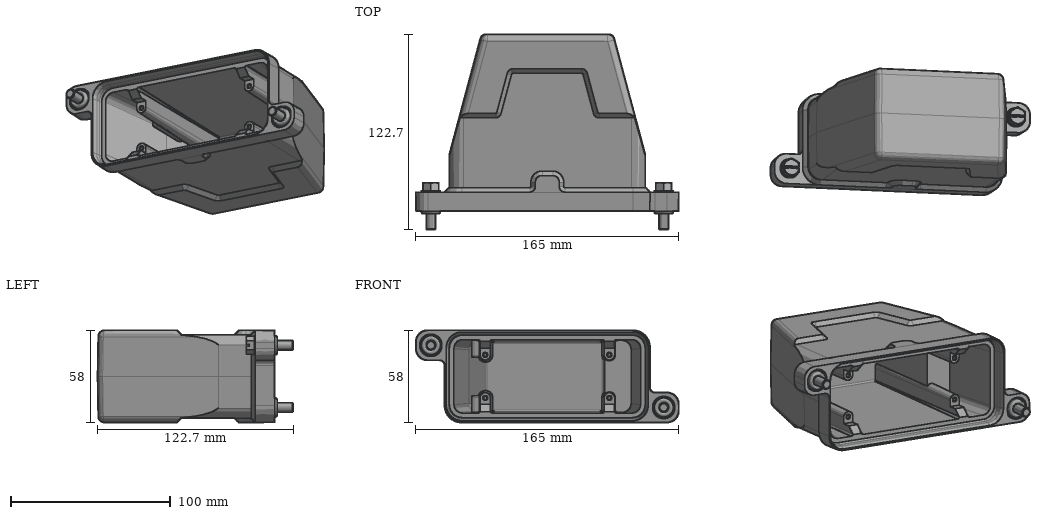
import cadquery as cq
import math


margin = 1.0

flange_depth = 12.0
flange_half_x = 64.5
flange_half_z = 29.0
flange_corner_radius = 11.0
ear_end_x = 82.5
ear_height = 19.0
ear_radius = 7.5
ear_root_radius = 3.0
flange_draft = 1.0

neck_half_x = 61.5
neck_half_z = 26.2
neck_corner_radius = 8.8
shoulder_y = 35.5
back_y = 111.1
slant_angle = 15.0
hood_draft = 1.0
back_edge_radius = 4.2
skirt_height = flange_half_z - neck_half_z

step_side_y = 58.5
step_top_y = 86.5
step_foot_x = 29.7
step_round_outer = 3.8
step_round_inner = 1.0

pad_half_x = 7.5
pad_top_y = 22.4
pad_top_radius = 4.2
pad_root_radius = 3.6

seal_levels = [(0.0, 1.2), (3.0, 2.3), (6.0, 2.6), (8.0, 3.2)]
mouth_y = seal_levels[-1][0]
cavity_half_x = 58.5
cavity_half_z = 23.0
cavity_back_half_z = 21.8
cavity_back_y = 108.0
cavity_end_draft = 8.6
cavity_corner_radius = 5.5
left_kink_y = 68.4
shelf_y = 47.5
deep_wall_x = 36.0
deep_wall_draft = 0.8
cavity_floor_radius = 1.0

post_x = 38.9
post_z = 13.5
post_radius = 3.1
post_foot_radius = 1.5
post_face_y = 19.0
post_root_z = 24.5
post_draft = 0.9
post_hole_radius = 1.1
post_hole_chamfer = 0.4
post_hole_depth = 10.0
ramp_top_z = 17.6
ramp_foot_z = 22.1
ramp_start_y = 13.0
side_block_x = -47.4
side_block_inner_z = 12.0
side_block_end_y = 80.0
side_block_corner_radius = 1.0
side_block_front_radius = 1.2

screw_x = 73.0
screw_z = 19.5
screw_tip_y = -11.6
shank_radius = 3.0
tip_chamfer = 0.5
collar_radius = 6.0
collar_tip_y = -1.7
collar_recess_radius = 7.0
collar_recess_depth = 1.5
washer_radius = 6.0
washer_chamfer = 0.4
washer_thickness = 0.9
hex_across_flats = 10.0
head_top_y = 17.9
head_bevel_angle = 30.0
head_bevel_width = 0.8
slot_width = 1.3
slot_depth = 2.1


def slope(angle):
    return math.tan(math.radians(angle))


def rounded_polygon(workplane, corners):
    """Closed outline through (x, y, radius) corners; each corner is replaced by a tangent arc."""
    count = len(corners)
    wire = None
    for i in range(count):
        corner = cq.Vector(corners[i][0], corners[i][1])
        radius = corners[i][2]
        before = cq.Vector(*corners[i - 1][:2]).sub(corner).normalized()
        after = cq.Vector(*corners[(i + 1) % count][:2]).sub(corner).normalized()
        half_angle = before.getAngle(after) / 2
        setback = radius / math.tan(half_angle)
        start = corner + before * setback
        end = corner + after * setback
        bisector = (before + after).normalized()
        middle = corner + bisector * (radius / math.sin(half_angle) - radius)
        start, middle, end = [p.toTuple()[:2] for p in (start, middle, end)]
        wire = workplane.moveTo(*start) if wire is None else wire.lineTo(*start)
        if radius > 0:
            wire = wire.threePointArc(middle, end)
    return wire.close()


def rounded_rectangle(workplane, half_x, half_z, radius):
    signs = [(1, 1), (-1, 1), (-1, -1), (1, -1)]
    return rounded_polygon(workplane, [(sx * half_x, sz * half_z, radius) for sx, sz in signs])


def plane_facing_back(y):
    """Workplane at the given Y whose extrusions grow toward +Y."""
    return cq.Workplane(cq.Plane(origin=(0, y, 0), xDir=(1, 0, 0), normal=(0, 1, 0)))


def make_flange():
    ear_low_z = flange_half_z - ear_height
    half_outline = [
        (flange_half_x, flange_half_z, flange_corner_radius),
        (-ear_end_x, flange_half_z, ear_radius),
        (-ear_end_x, ear_low_z, ear_radius),
        (-flange_half_x, ear_low_z, ear_root_radius),
    ]
    other_half = [(-x, -z, radius) for x, z, radius in half_outline]
    start = cq.Workplane("XZ", origin=(0, flange_depth, 0))
    return rounded_polygon(start, half_outline + other_half).extrude(flange_depth, taper=flange_draft)


def make_skirt():
    """45 degree transition from the flange to the neck of the hood."""
    start = plane_facing_back(flange_depth)
    outline = rounded_rectangle(start, flange_half_x, flange_half_z, flange_corner_radius)
    return outline.extrude(skirt_height, taper=45)


def make_pad(side):
    """Arched pad above the flange, with 45 degree flanks that spread toward the neck."""
    base_half_x = flange_half_x - flange_corner_radius
    half_outline = [
        (base_half_x, 0, 0),
        (base_half_x, flange_depth, 0),
        (pad_half_x, flange_depth, pad_root_radius),
        (pad_half_x, pad_top_y, pad_top_radius),
    ]
    outline = half_outline + [(-x, y, radius) for x, y, radius in reversed(half_outline)]
    start = cq.Workplane("XY", origin=(0, 0, -flange_half_z))
    pad = rounded_polygon(start, outline).extrude(skirt_height, taper=-45)
    above_flange = cq.Workplane("XY").box(4 * pad_half_x, back_y, 4 * flange_half_z)
    pad = pad.intersect(above_flange.translate((0, flange_depth + back_y / 2, 0)))
    return pad if side < 0 else pad.mirror("XY")


def make_half_prism():
    """Upper half of the drafted hood prism, its rear edges rounded."""
    slant_end_x = neck_half_x - (back_y - shoulder_y) * slope(slant_angle)
    side = [(neck_half_x, 0), (neck_half_x, shoulder_y), (slant_end_x, back_y)]
    outline = side + [(-x, y) for x, y in reversed(side)]
    half = cq.Workplane("XY").polyline(outline).close().extrude(flange_half_z, taper=hood_draft)
    rear_zone = cq.selectors.BoxSelector(
        (-neck_half_x, shoulder_y + margin, margin),
        (neck_half_x, back_y + margin, flange_half_z + margin),
    )
    return half.edges(rear_zone).fillet(back_edge_radius)


def make_step_cutter():
    """Space in front of the 45 degree step on the +Z side of the hood."""
    step_top_x = step_foot_x - (step_top_y - step_side_y) * slope(slant_angle)
    side = [
        (2 * neck_half_x, -back_y, 0),
        (2 * neck_half_x, step_side_y, 0),
        (step_foot_x, step_side_y, step_round_outer),
        (step_top_x, step_top_y, step_round_inner),
    ]
    outline = side + [(-x, y, radius) for x, y, radius in reversed(side)]
    start = cq.Workplane("XY", origin=(0, 0, neck_half_z))
    return rounded_polygon(start, outline).extrude(2 * skirt_height, taper=-45)


def make_hood_body():
    half = make_half_prism()
    prism = half.union(half.mirror("XY"))
    bar = rounded_rectangle(plane_facing_back(0), neck_half_x, neck_half_z, neck_corner_radius)
    neck = prism.intersect(bar.extrude(step_top_y))
    front_space = cq.Workplane("XY").box(4 * neck_half_x, 2 * step_side_y, 4 * neck_half_z)
    cutter = make_step_cutter()
    rear = prism.cut(front_space).cut(cutter).cut(cutter.mirror("XY"))
    return neck.union(rear)


def make_seal_seat():
    """Stepped, tapering recess around the mouth."""
    seat = None
    for (start_y, start_inset), (end_y, end_inset) in zip(seal_levels, seal_levels[1:]):
        depth = end_y - start_y
        angle = math.degrees(math.atan((end_inset - start_inset) / depth))
        outline = rounded_rectangle(
            plane_facing_back(start_y),
            flange_half_x - start_inset,
            flange_half_z - start_inset,
            flange_corner_radius - start_inset,
        )
        stage = outline.extrude(depth, taper=angle)
        seat = stage if seat is None else seat.union(stage)
    return seat


def make_cavity():
    """Drafted inner space: the left end follows the hood slant, the right end has a shelf."""
    left_kink_x = -cavity_half_x + (left_kink_y - mouth_y) * slope(cavity_end_draft)
    left_back_x = left_kink_x + (cavity_back_y - left_kink_y) * slope(slant_angle)
    shelf_x = cavity_half_x - (shelf_y - mouth_y) * slope(cavity_end_draft)
    deep_x = deep_wall_x - (cavity_back_y - shelf_y) * slope(deep_wall_draft)
    plan = [
        (-cavity_half_x, mouth_y),
        (left_kink_x, left_kink_y),
        (left_back_x, cavity_back_y),
        (deep_x, cavity_back_y),
        (deep_wall_x, shelf_y),
        (shelf_x, shelf_y),
        (cavity_half_x, mouth_y),
    ]
    prism = cq.Workplane("XY").polyline(plan).close().extrude(cavity_half_z, both=True)
    profile = [
        (mouth_y, cavity_half_z),
        (cavity_back_y, cavity_back_half_z),
        (cavity_back_y, -cavity_back_half_z),
        (mouth_y, -cavity_half_z),
    ]
    wedge = cq.Workplane("YZ").polyline(profile).close().extrude(2 * cavity_half_x, both=True)
    cavity = prism.intersect(wedge)
    left_walls = cq.selectors.BoxSelector(
        (-2 * cavity_half_x, mouth_y + margin, -cavity_half_z),
        (left_back_x - margin, cavity_back_y - margin, cavity_half_z),
    )
    right_wall = cq.selectors.BoxSelector(
        (shelf_x + margin, mouth_y + margin, -cavity_half_z),
        (cavity_half_x, shelf_y - margin, cavity_half_z),
    )
    upright_edges = cq.selectors.BoxSelector(
        (-2 * cavity_half_x, 0, -margin), (2 * cavity_half_x, 2 * cavity_back_y, margin)
    )
    cavity = cavity.edges(left_walls - upright_edges).fillet(cavity_corner_radius)
    cavity = cavity.edges(right_wall - upright_edges).fillet(cavity_corner_radius)
    return cavity.faces(">Y").edges().fillet(cavity_floor_radius)


def make_post(x, side):
    """Drafted post along the +Z (side = 1) or -Z cavity wall, with a ramp toward the mouth."""
    foot_x = post_radius + post_foot_radius
    flank_z = cavity_half_z - post_foot_radius
    arc_offset = post_foot_radius * (1 - math.sqrt(0.5))
    section = (
        plane_facing_back(mouth_y)
        .moveTo(-foot_x, -post_root_z)
        .lineTo(-foot_x, -cavity_half_z)
        .threePointArc((-post_radius - arc_offset, arc_offset - cavity_half_z), (-post_radius, -flank_z))
        .lineTo(-post_radius, -post_z)
        .threePointArc((0, post_radius - post_z), (post_radius, -post_z))
        .lineTo(post_radius, -flank_z)
        .threePointArc((post_radius + arc_offset, arc_offset - cavity_half_z), (foot_x, -cavity_half_z))
        .lineTo(foot_x, -post_root_z)
        .close()
    )
    post = section.extrude(cavity_back_y - mouth_y, taper=-post_draft)
    side_profile = [
        (mouth_y, 2 * post_root_z),
        (mouth_y, ramp_foot_z),
        (ramp_start_y, ramp_top_z),
        (post_face_y, ramp_top_z),
        (post_face_y, 0),
        (cavity_back_y, 0),
        (cavity_back_y, 2 * post_root_z),
    ]
    post = post.intersect(cq.Workplane("YZ").polyline(side_profile).close().extrude(2 * post_z, both=True))
    hole_start = plane_facing_back(post_face_y).center(0, -post_z)
    hole = hole_start.circle(post_hole_radius).extrude(post_hole_depth)
    mouth = hole_start.circle(post_hole_radius + post_hole_chamfer).extrude(post_hole_chamfer, taper=45)
    post = post.cut(hole).cut(mouth).translate((x, 0, 0))
    return post if side > 0 else post.mirror("XY")


def make_side_block(side):
    """Rounded block joining a left post to the cavity wall on its outer side."""
    width = -post_x - side_block_x
    height = post_root_z - side_block_inner_z
    length = side_block_end_y - shelf_y
    block = cq.Workplane("XY").box(width, length, height, centered=(False, False, False))
    block = block.edges("|Y and <X and <Z").fillet(side_block_corner_radius)
    block = block.faces("<Y").edges().fillet(side_block_front_radius)
    block = block.translate((side_block_x, shelf_y, side_block_inner_z))
    return block if side > 0 else block.mirror("XY")


def screw_cylinder(radius, from_y, to_y):
    return plane_facing_back(from_y).circle(radius).extrude(to_y - from_y)


def make_housing():
    hood_body = make_hood_body()
    housing = make_flange().union(make_skirt()).union(hood_body)
    for side in (1, -1):
        housing = housing.union(make_pad(side))
    housing = housing.cut(make_seal_seat()).cut(make_cavity())
    for side in (1, -1):
        housing = housing.union(make_side_block(side).intersect(hood_body))
        for x in (-post_x, post_x):
            housing = housing.union(make_post(x, side).intersect(hood_body))
    for side in (1, -1):
        place = (-side * screw_x, 0, side * screw_z)
        housing = housing.cut(screw_cylinder(shank_radius, 0, flange_depth).translate(place))
        housing = housing.cut(screw_cylinder(collar_recess_radius, 0, collar_recess_depth).translate(place))
    return housing


def make_screw_head(base_y):
    hex_diameter = hex_across_flats / math.cos(math.radians(30))
    start = plane_facing_back(base_y).transformed(rotate=(0, 0, 90))
    head = start.polygon(6, hex_diameter).extrude(head_top_y - base_y)
    bevel_drop = head_bevel_width * slope(head_bevel_angle)
    envelope = screw_cylinder(hex_diameter / 2, base_y, head_top_y)
    head = head.intersect(envelope.faces(">Y").chamfer(bevel_drop, head_bevel_width))
    slot = cq.Workplane("XY").box(2 * hex_diameter, 2 * slot_depth, slot_width)
    return head.cut(slot.translate((0, head_top_y, 0)))


def make_screw():
    """Slotted hex screw with washer and a rounded retaining collar, axis on Y."""
    washer_top_y = flange_depth + washer_thickness
    collar_arc_radius = (collar_radius - shank_radius) / 2
    collar_arc_y = collar_tip_y + collar_arc_radius
    turned_half = (
        cq.Workplane("YZ")
        .moveTo(screw_tip_y, 0)
        .lineTo(screw_tip_y, shank_radius - tip_chamfer)
        .lineTo(screw_tip_y + tip_chamfer, shank_radius)
        .lineTo(collar_arc_y, shank_radius)
        .threePointArc((collar_tip_y, shank_radius + collar_arc_radius), (collar_arc_y, collar_radius))
        .lineTo(collar_recess_depth, collar_radius)
        .lineTo(collar_recess_depth, shank_radius)
        .lineTo(flange_depth, shank_radius)
        .lineTo(flange_depth, washer_radius - washer_chamfer)
        .lineTo(flange_depth + washer_chamfer, washer_radius)
        .lineTo(washer_top_y, washer_radius)
        .lineTo(washer_top_y, 0)
        .close()
    )
    turned = turned_half.revolve(360, (0, 0, 0), (1, 0, 0))
    return turned.union(make_screw_head(washer_top_y))


housing = make_housing()
screws = []
for side in (1, -1):
    screws.append(make_screw().translate((-side * screw_x, 0, side * screw_z)))

result = cq.Compound.makeCompound([housing.val()] + [screw.val() for screw in screws])